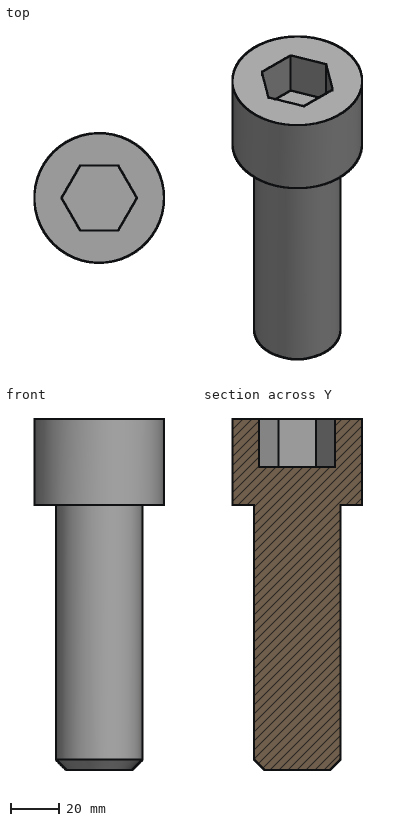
import cadquery as cq
import math

total_length = 146.0
head_diameter = 54.0
shank_diameter = 36.0
head_height = 35.9
shank_length = total_length - head_height
tip_chamfer = 4.4

socket_across_flats = 27.2
socket_depth = 20.0
socket_across_corners = socket_across_flats / math.cos(math.pi / 6)

head = cq.Workplane("XY").circle(head_diameter / 2).extrude(head_height)

shank = (
    cq.Workplane("XY")
    .circle(shank_diameter / 2)
    .extrude(-shank_length)
    .faces("<Z")
    .chamfer(tip_chamfer)
)

socket = (
    cq.Workplane("XY", origin=(0, 0, head_height))
    .polygon(6, socket_across_corners)
    .extrude(-socket_depth)
)

result = head.union(shank).cut(socket)